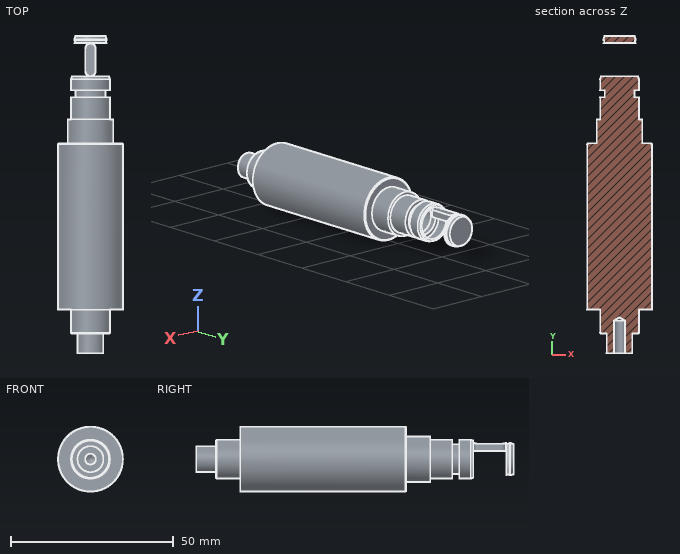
import cadquery as cq
import math

TOTAL_LENGTH = 97.5

FRONT_PIN_DIAMETER = 8.0
BEARING_DIAMETER = 12.0
BODY_DIAMETER = 20.0
SHOULDER_DIAMETER = 14.0
RELIEF_DIAMETER = 9.3
KEYED_END_DIAMETER = 10.0
RING_GROOVE_DIAMETER = 9.6

FRONT_PIN_LENGTH = 6.0
FRONT_JOURNAL_LENGTH = 7.4
BODY_LENGTH = 51.1
SHOULDER_LENGTH = 7.3
REAR_JOURNAL_LENGTH = 6.8
RELIEF_LENGTH = 2.0
COLLAR_LENGTH = 4.4

RING_GROOVE_WIDTH = 0.9
RING_GROOVE_END_MARGIN = 1.4

JOURNAL_CHAMFER = 0.3
BODY_REAR_CHAMFER = 0.3
COLLAR_CHAMFER_LENGTH = 0.9
COLLAR_CHAMFER_DEPTH = 0.3
REAR_END_CHAMFER_LENGTH = 1.1
REAR_END_CHAMFER_DEPTH = 0.4

KEYWAY_WIDTH = 3.2
KEYWAY_LENGTH = 10.0
KEYWAY_DEPTH = 2.5

HOLE_DIAMETER = 3.3
HOLE_DEPTH = 10.0
DRILL_POINT_ANGLE = 118.0

journal_start = FRONT_PIN_LENGTH
body_start = journal_start + FRONT_JOURNAL_LENGTH
shoulder_start = body_start + BODY_LENGTH
rear_journal_start = shoulder_start + SHOULDER_LENGTH
relief_start = rear_journal_start + REAR_JOURNAL_LENGTH
collar_start = relief_start + RELIEF_LENGTH
keyed_end_start = collar_start + COLLAR_LENGTH
ring_groove_end = TOTAL_LENGTH - RING_GROOVE_END_MARGIN
ring_groove_start = ring_groove_end - RING_GROOVE_WIDTH


def turned(profile):
    """Revolve a closed (radius, station) half profile about the Y axis."""
    return cq.Workplane("XY").polyline(profile).close().revolve(360, (0, 0, 0), (0, 1, 0))


def make_shaft():
    """Stepped shaft with its relief, ring groove and chamfered edges."""
    pin_radius = FRONT_PIN_DIAMETER / 2
    bearing_radius = BEARING_DIAMETER / 2
    body_radius = BODY_DIAMETER / 2
    shoulder_radius = SHOULDER_DIAMETER / 2
    relief_radius = RELIEF_DIAMETER / 2
    keyed_radius = KEYED_END_DIAMETER / 2
    groove_radius = RING_GROOVE_DIAMETER / 2
    return turned([
        (0, 0),
        (pin_radius, 0),
        (pin_radius, journal_start),
        (bearing_radius - JOURNAL_CHAMFER, journal_start),
        (bearing_radius, journal_start + JOURNAL_CHAMFER),
        (bearing_radius, body_start),
        (body_radius, body_start),
        (body_radius, shoulder_start - BODY_REAR_CHAMFER),
        (body_radius - BODY_REAR_CHAMFER, shoulder_start),
        (shoulder_radius, shoulder_start),
        (shoulder_radius, rear_journal_start),
        (bearing_radius, rear_journal_start),
        (bearing_radius, relief_start),
        (relief_radius, relief_start),
        (relief_radius, collar_start),
        (bearing_radius, collar_start),
        (bearing_radius, keyed_end_start - COLLAR_CHAMFER_LENGTH),
        (bearing_radius - COLLAR_CHAMFER_DEPTH, keyed_end_start),
        (keyed_radius, keyed_end_start),
        (keyed_radius, ring_groove_start),
        (groove_radius, ring_groove_start),
        (groove_radius, ring_groove_end),
        (keyed_radius, ring_groove_end),
        (keyed_radius, TOTAL_LENGTH - REAR_END_CHAMFER_LENGTH),
        (keyed_radius - REAR_END_CHAMFER_DEPTH, TOTAL_LENGTH),
        (0, TOTAL_LENGTH),
    ])


def make_keyway():
    """Round-ended key seat cut down from the top, starting at the collar."""
    top = KEYED_END_DIAMETER / 2
    return (
        cq.Workplane("XY", origin=(0, keyed_end_start + KEYWAY_LENGTH / 2, top - KEYWAY_DEPTH))
        .slot2D(KEYWAY_LENGTH, KEYWAY_WIDTH, 90)
        .extrude(2 * KEYWAY_DEPTH)
    )


def make_front_hole():
    """Blind hole with a conical drill point."""
    radius = HOLE_DIAMETER / 2
    point_length = radius / math.tan(math.radians(DRILL_POINT_ANGLE / 2))
    return turned([
        (0, 0),
        (radius, 0),
        (radius, HOLE_DEPTH),
        (0, HOLE_DEPTH + point_length),
    ])


result = make_shaft().cut(make_keyway()).cut(make_front_hole())